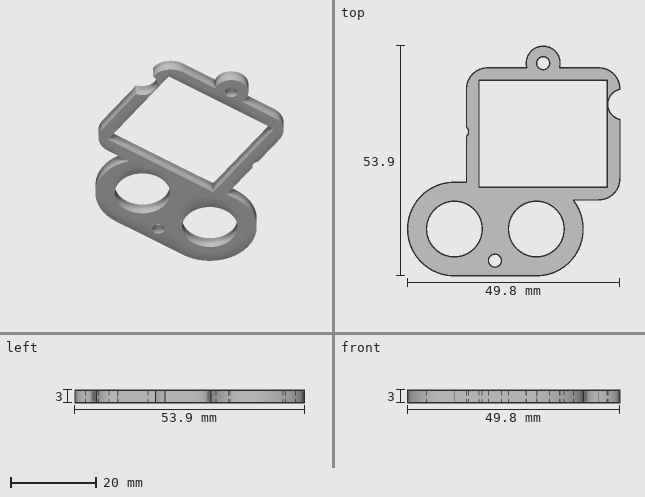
import cadquery as cq

thickness = 3.0

lens_spacing = 19.2
lens_plate_radius = 11.0
lens_hole_radius = 6.5
small_hole_radius = 1.5
lower_hole_x = 9.5
lower_hole_y = -7.4

window_width = 30.0
window_height = 25.0
frame_border = 3.0
frame_corner_radius = 5.0
frame_left = 2.8
frame_bottom = 6.8
frame_width = window_width + 2 * frame_border
frame_height = window_height + 2 * frame_border
frame_right = frame_left + frame_width
frame_center_x = frame_left + frame_width / 2
frame_center_y = frame_bottom + frame_height / 2

lug_radius = 4.0
lug_center_y = 38.86

right_notch_radius = 3.6
right_notch_depth = 2.85
right_notch_y = 29.2
left_notch_radius = 1.5
left_notch_depth = 0.5
left_notch_y = 22.8


def cylinder(x, y, radius):
    """Full-thickness cylinder along Z."""
    return cq.Workplane("XY").center(x, y).circle(radius).extrude(thickness)


def block(x, y, width, height):
    """Full-thickness block centred on x, y."""
    return cq.Workplane("XY").center(x, y).rect(width, height).extrude(thickness)


def lens_plate():
    """Stadium-shaped plate around the two lens holes."""
    plate = block(lens_spacing / 2, 0, lens_spacing, 2 * lens_plate_radius)
    for x in (0, lens_spacing):
        plate = plate.union(cylinder(x, 0, lens_plate_radius))
    return plate


def frame():
    """Solid frame outline; the lower left corner stays square inside the lens plate."""
    outline = block(frame_center_x, frame_center_y, frame_width, frame_height)
    return outline.edges("|Z and (>X or >Y)").fillet(frame_corner_radius)


body = lens_plate().union(frame())
body = body.union(cylinder(frame_center_x, lug_center_y, lug_radius))

body = body.cut(block(frame_center_x, frame_center_y, window_width, window_height))
for lens_x in (0, lens_spacing):
    body = body.cut(cylinder(lens_x, 0, lens_hole_radius))
body = body.cut(cylinder(lower_hole_x, lower_hole_y, small_hole_radius))
body = body.cut(cylinder(frame_center_x, lug_center_y, small_hole_radius))

right_notch_x = frame_right - right_notch_depth + right_notch_radius
left_notch_x = frame_left + left_notch_depth - left_notch_radius
body = body.cut(cylinder(right_notch_x, right_notch_y, right_notch_radius))
body = body.cut(cylinder(left_notch_x, left_notch_y, left_notch_radius))

result = body